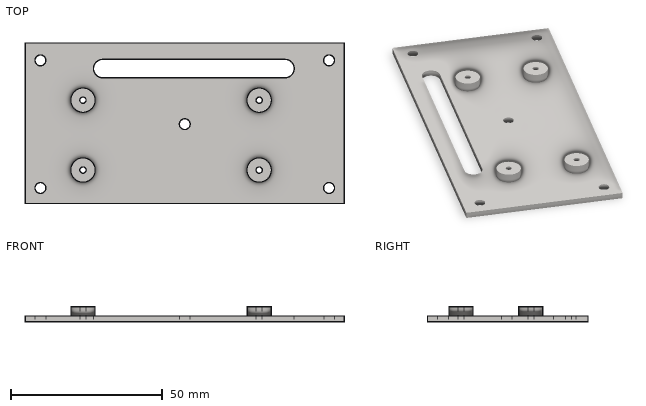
import cadquery as cq

plate_length = 105.0
plate_width = 52.9
plate_thickness = 2.0

mount_hole_diameter = 3.5
mount_spacing_x = 95.0
mount_spacing_y = 42.0
mount_center = (0.0, -0.3)

standoff_diameter = 8.0
standoff_height = 3.0
standoff_hole_diameter = 2.0
standoff_spacing_x = 58.0
standoff_spacing_y = 23.0
standoff_center = (-4.5, -3.9)

slot_length = 66.0
slot_width = 6.0
slot_center = (3.0, 18.0)


def rectangle_corners(center, spacing_x, spacing_y):
    """Corner points of a rectangle centred on the given point."""
    center_x, center_y = center
    return [
        (center_x + side_x * spacing_x / 2, center_y + side_y * spacing_y / 2)
        for side_x in (-1, 1)
        for side_y in (-1, 1)
    ]


def upright_cylinders(points, diameter, bottom, height):
    """Vertical cylinders standing at the given points."""
    return (
        cq.Workplane("XY", origin=(0, 0, bottom))
        .pushPoints(points)
        .circle(diameter / 2)
        .extrude(height)
    )


def make_plate():
    return cq.Workplane("XY").box(
        plate_length, plate_width, plate_thickness, centered=(True, True, False)
    )


def make_slot():
    return (
        cq.Workplane("XY")
        .center(*slot_center)
        .slot2D(slot_length, slot_width)
        .extrude(plate_thickness)
    )


mount_points = rectangle_corners(mount_center, mount_spacing_x, mount_spacing_y) + [mount_center]
standoff_points = rectangle_corners(standoff_center, standoff_spacing_x, standoff_spacing_y)
total_height = plate_thickness + standoff_height

standoffs = upright_cylinders(standoff_points, standoff_diameter, plate_thickness, standoff_height)
mount_holes = upright_cylinders(mount_points, mount_hole_diameter, 0, plate_thickness)
standoff_holes = upright_cylinders(standoff_points, standoff_hole_diameter, 0, total_height)

result = make_plate().union(standoffs).cut(mount_holes).cut(standoff_holes).cut(make_slot())